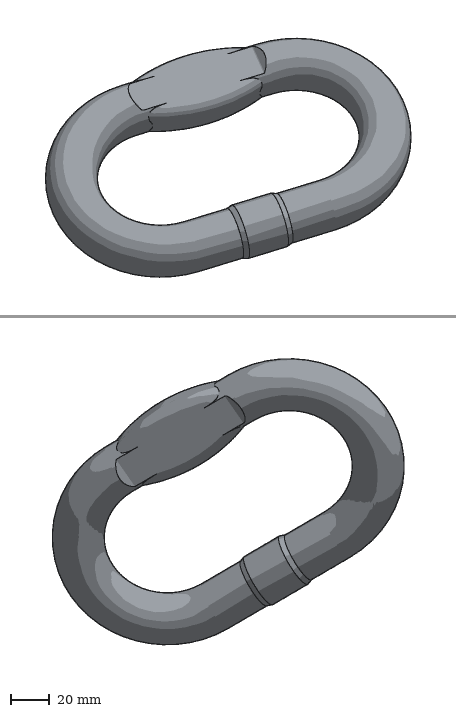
import cadquery as cq

wire_dia = 27.0
bend_radius = 46.0
leg_length = 75.0

sleeve_dia = 29.02
sleeve_length = 27.3
sleeve_taper_length = 2.9

flat_height = 10.0
flat_length = 67.4
ramp_run = 3.5
ramp_corner_radius = 1.7

grip_half_width = 18.85
grip_side_radius = 84.0
grip_edge_fillet = 7.0

wire_radius = wire_dia / 2
leg_half = leg_length / 2


def make_leg(x):
    """Straight piece of wire centred on Y = 0."""
    return cq.Workplane("XZ", origin=(x, leg_half, 0)).circle(wire_radius).extrude(leg_length)


def make_bend(end):
    """Half-circle of wire joining the legs at the +Y (end = 1) or -Y (end = -1) side."""
    return (
        cq.Workplane("XZ", origin=(bend_radius, end * leg_half, 0))
        .circle(wire_radius)
        .revolve(180, (-bend_radius, 0, 0), (-bend_radius, end, 0))
    )


def make_sleeve():
    """Turned collar with tapered ends, on the +X leg."""
    half = sleeve_length / 2
    straight_half = half - sleeve_taper_length
    sleeve_radius = sleeve_dia / 2
    return (
        cq.Workplane("XY", origin=(bend_radius, 0, 0))
        .moveTo(0, -half)
        .lineTo(wire_radius, -half)
        .lineTo(sleeve_radius, -straight_half)
        .lineTo(sleeve_radius, straight_half)
        .lineTo(wire_radius, half)
        .lineTo(0, half)
        .close()
        .revolve(360, (0, 0, 0), (0, 1, 0))
    )


def make_flat_cut(side):
    """Cutter for the flat and its end ramps on the top (side = 1) or bottom (side = -1)."""
    half = flat_length / 2
    ramp_half = half + ramp_run
    return (
        cq.Workplane("YZ", origin=(-bend_radius - wire_radius, 0, 0))
        .moveTo(-half, side * flat_height)
        .lineTo(half, side * flat_height)
        .lineTo(ramp_half, side * wire_radius)
        .lineTo(-ramp_half, side * wire_radius)
        .close()
        .extrude(wire_dia)
        .edges(f"|X and ({'<Z' if side > 0 else '>Z'})")
        .fillet(ramp_corner_radius)
    )


def make_grip_disc(side):
    """Round-edged disc whose rim forms the grip's +X (side = 1) or -X (side = -1) flank."""
    centre_x = -bend_radius + side * (grip_half_width - grip_side_radius)
    return (
        cq.Workplane("XY", origin=(centre_x, 0, -flat_height))
        .circle(grip_side_radius)
        .extrude(2 * flat_height)
        .edges()
        .fillet(grip_edge_fillet)
    )


flattened_leg = make_leg(-bend_radius)
for side in (1, -1):
    flattened_leg = flattened_leg.cut(make_flat_cut(side))

grip = make_grip_disc(1).intersect(make_grip_disc(-1))

result = make_leg(bend_radius).union(make_sleeve())
for end in (1, -1):
    result = result.union(make_bend(end))
result = result.union(flattened_leg).union(grip)